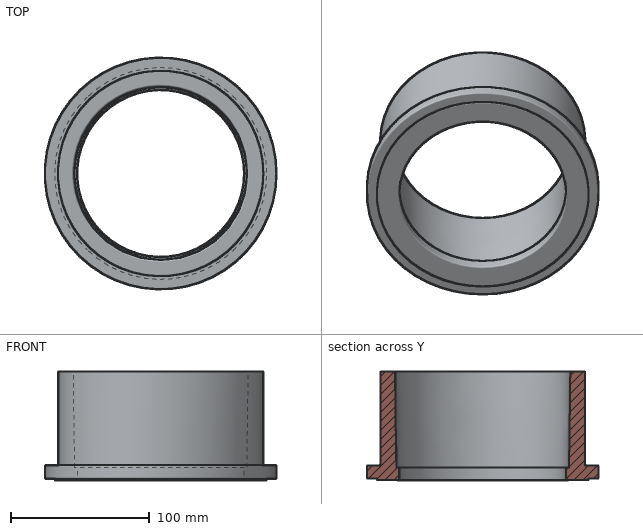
import cadquery as cq
import math

height = 78.5
flange_diameter = 167.0
body_diameter = 148.0
bore_diameter = 120.0

raised_face_height = 1.2
raised_face_diameter = 152.6
flange_top = 11.0

socket_top_diameter = 126.0
socket_bottom_diameter = 124.0
shoulder_height = 9.5

edge_radius = 1.0

flange_radius = flange_diameter / 2
body_radius = body_diameter / 2
bore_radius = bore_diameter / 2
raised_face_radius = raised_face_diameter / 2
socket_top_radius = socket_top_diameter / 2
socket_bottom_radius = socket_bottom_diameter / 2


def quarter_round(sketch, center, start_angle, end_angle):
    """Draw a line to a rounded corner, then its arc; angles are in degrees about its center."""
    def arc_point(angle):
        turn = math.radians(angle)
        return (
            center[0] + edge_radius * math.cos(turn),
            center[1] + edge_radius * math.sin(turn),
        )

    middle_angle = (start_angle + end_angle) / 2
    line = sketch.lineTo(*arc_point(start_angle))
    return line.threePointArc(arc_point(middle_angle), arc_point(end_angle))


def outer_body():
    """Solid raised face, flange and body with rounded rims, revolved about Z."""
    profile = cq.Workplane("XZ").moveTo(0, 0)
    profile = quarter_round(profile, (raised_face_radius - edge_radius, edge_radius), -90, 0)
    profile = profile.lineTo(raised_face_radius, raised_face_height)
    flange_center_x = flange_radius - edge_radius
    profile = quarter_round(profile, (flange_center_x, raised_face_height + edge_radius), -90, 0)
    profile = quarter_round(profile, (flange_center_x, flange_top - edge_radius), 0, 90)
    profile = profile.lineTo(body_radius, flange_top)
    profile = quarter_round(profile, (body_radius - edge_radius, height - edge_radius), 0, 90)
    profile = profile.lineTo(0, height).close()
    return profile.revolve(360, (0, 0, 0), (0, 1, 0))


def inner_cavity():
    """Through bore and tapered socket, both flaring out along a rounded rim, revolved about Z."""
    profile = cq.Workplane("XZ").moveTo(0, 0)
    profile = quarter_round(profile, (bore_radius + edge_radius, edge_radius), 270, 180)
    profile = profile.lineTo(bore_radius, shoulder_height)
    profile = profile.lineTo(socket_bottom_radius, shoulder_height)
    profile = quarter_round(profile, (socket_top_radius + edge_radius, height - edge_radius), 180, 90)
    profile = profile.lineTo(0, height).close()
    return profile.revolve(360, (0, 0, 0), (0, 1, 0))


result = outer_body().cut(inner_cavity())